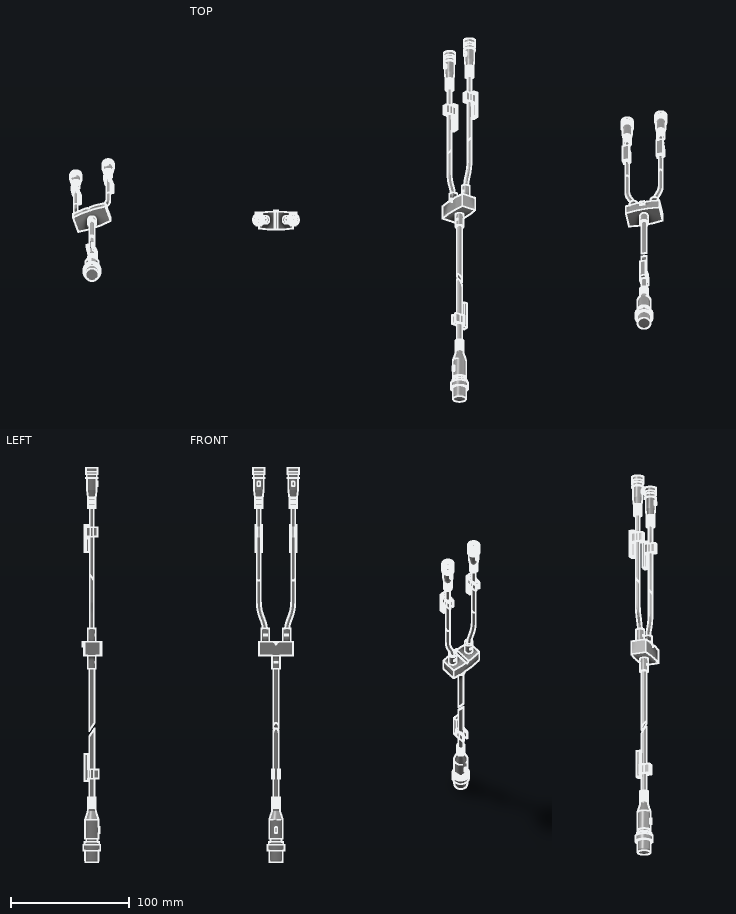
import cadquery as cq

TRUNK_DIA = 4.5
BRANCH_DIA = 3.5
BRANCH_X = 14.5
BRANCH_SIDES = (-1, 1)

BREAK_SLOPE = 1.5
BREAK_REACH = 16.5
BREAK_DEPTH = 199.8
BREAK_MARGIN = 6.5
TRUNK_BREAK_LOW = 109.5
TRUNK_BREAK_HIGH = 114.2
BRANCH_BREAK = 240.5

BLOCK_BOTTOM = 174.5
BLOCK_TOP = 186.0
BLOCK_HALF_X = 14.5
BLOCK_FLAT_HALF_X = 5.5
BLOCK_FRONT_Y = -8.3
BLOCK_BACK_Y = 7.0
BLOCK_END_SETBACK = 1.0
GROOVE_WIDTH = 3.0
GROOVE_DEPTH = 2.3
TAB_WIDTH = 4.0
TAB_HEIGHT = 4.3
TAB_BACK_Y = 8.0

SLEEVE_DIA = 7.0
SLEEVE_LENGTH = 11.3
SLEEVE_X = 9.0
WINDOW_WIDTH = 3.0
WINDOW_HEIGHT = 1.0
WINDOW_DEPTH = 0.5
WINDOW_FROM_BLOCK = 5.5

BEND_TOP = 219.5
BEND_HALF_HEIGHT = 13.3

RELIEF_DIA = 7.0
RELIEF_GROOVE_DIA = 5.5
RELIEF_GROOVE_HEIGHT = 1.0
RELIEF_GROOVE_PITCH = 2.3
RELIEF_END_RIB = 1.3
RELIEF_GROOVE_COUNT = 4

PLUG_THREAD_DIA = 11.5
PLUG_END_INSET = 0.3
PLUG_END_TAPER = 2.0
PLUG_NUT_DIA = 14.5
PLUG_NUT_BOTTOM = 10.0
PLUG_NUT_TOP = 15.0
PLUG_COLLAR_DIA = 12.5
PLUG_COLLAR_TOP = 17.3
PLUG_NECK_DIA = 9.5
PLUG_BODY_DIA = 11.5
PLUG_BODY_BOTTOM = 20.0
PLUG_BODY_TOP = 36.0
PLUG_CONE_TOP = 43.3
PLUG_TOP = 55.0
PLUG_MARK_Z = 27.3
PLUG_MARK_WIDTH = 2.0
PLUG_MARK_HEIGHT = 5.3
PLUG_MARK_REACH = 6.5

SOCKET_BOTTOM = 298.7
SOCKET_CONE_BOTTOM = 308.7
SOCKET_BODY_BOTTOM = 314.0
SOCKET_BODY_TOP = 324.0
SOCKET_BODY_DIA = 8.3
SOCKET_NECK_DIA = 8.5
SOCKET_NUT_DIA = 10.0
SOCKET_RIM_HEIGHT = 0.3
SOCKET_NUT_BOTTOM = 327.5
SOCKET_TOP = 333.0
SOCKET_RECESS_DIA = 8.5
SOCKET_RECESS_DEPTH = 3.3
SOCKET_INSERT_DIA = 5.5
CONTACT_HOLE_DIA = 1.1
CONTACT_CIRCLE_DIA = 3.3
CONTACT_COUNT = 4
CONTACT_START_ANGLE = 45
SOCKET_MARK_Z = 319.5
SOCKET_MARK_WIDTH = 2.5
SOCKET_MARK_HEIGHT = 4.3
SOCKET_MARK_REACH = 5.0

PLATE_LENGTH = 23.0
PLATE_BACK_Y = 6.3
RING_HEIGHT = 8.0
RING_OFFSET = 2.0
LIP_SETBACK = 0.3
LIP_TAPER_WIDTH = 0.3
LIP_TAPER_LENGTH = 1.3
RAIL_THICKNESS = 0.5
RAIL_INSET = 0.3
RAIL_DEPTH = 2.3
RAIL_GAP = 1.3
LEDGE_HEIGHT = 0.5
BRANCH_CLIP_TOP = 284.7
BRANCH_RING_DIA = 5.5
BRANCH_PLATE_WIDTH = 5.5
BRANCH_PLATE_THICKNESS = 1.5
BRANCH_LIP_GAP = 2.0
BRANCH_LIP_REACH = 5.0
TRUNK_CLIP_BOTTOM = 68.5
TRUNK_RING_DIA = 7.0
TRUNK_PLATE_WIDTH = 4.5
TRUNK_PLATE_THICKNESS = 3.3
TRUNK_LIP_GAP = 3.0
TRUNK_LIP_REACH = 6.0


def cylinder(diameter, bottom, top, x=0.0):
    """Vertical cylinder between two heights."""
    return cq.Workplane("XY", origin=(x, 0, bottom)).circle(diameter / 2).extrude(top - bottom)


def box(x_range, y_range, z_range):
    """Box given by its limits along each axis."""
    sizes = [high - low for low, high in (x_range, y_range, z_range)]
    corner = (x_range[0], y_range[0], z_range[0])
    return cq.Workplane("XY").box(*sizes, centered=False).translate(corner)


def turned(profile):
    """Solid of revolution about Z from (radius, height) points, closed along the axis."""
    outline = [(0, profile[0][1]), *profile, (0, profile[-1][1])]
    return cq.Workplane("XZ").polyline(outline).close().revolve(360, (0, 0), (0, 1))


def break_prism(z, slope, direction):
    """Region above (+1) or below (-1) a break plane through height z on the axis."""
    rise = slope * BREAK_REACH
    far = z + direction * BREAK_DEPTH
    outline = [(-BREAK_REACH, z - rise), (BREAK_REACH, z + rise), (BREAK_REACH, far), (-BREAK_REACH, far)]
    return cq.Workplane("YZ").polyline(outline).close().extrude(2 * BLOCK_HALF_X, both=True)


def relief_grooves(cable_end, direction):
    """Rings to remove from a strain relief, counted up (+1) or down (-1) from its cable end."""
    grooves = cq.Workplane("XY")
    for index in range(RELIEF_GROOVE_COUNT):
        offset = RELIEF_END_RIB + index * RELIEF_GROOVE_PITCH + RELIEF_GROOVE_HEIGHT / 2
        low = cable_end + direction * offset - RELIEF_GROOVE_HEIGHT / 2
        high = low + RELIEF_GROOVE_HEIGHT
        grooves = grooves.add(cylinder(RELIEF_DIA, low, high).cut(cylinder(RELIEF_GROOVE_DIA, low, high)))
    return grooves.combine()


def front_mark(z, width, height, reach):
    """Rounded bar raised on the -Y side of a connector body."""
    return cq.Workplane("XZ", origin=(0, 0, z)).slot2D(height, width, 90).extrude(reach)


def make_plug():
    """Trunk plug with the lower part of the trunk cable."""
    thread, nut, body = PLUG_THREAD_DIA / 2, PLUG_NUT_DIA / 2, PLUG_BODY_DIA / 2
    collar, neck, relief = PLUG_COLLAR_DIA / 2, PLUG_NECK_DIA / 2, RELIEF_DIA / 2
    shell = turned([
        (thread - PLUG_END_INSET, 0),
        (thread, PLUG_END_TAPER),
        (thread, PLUG_NUT_BOTTOM),
        (nut, PLUG_NUT_BOTTOM),
        (nut, PLUG_NUT_TOP),
        (collar, PLUG_NUT_TOP),
        (collar, PLUG_COLLAR_TOP),
        (neck, PLUG_COLLAR_TOP),
        (neck, PLUG_BODY_BOTTOM),
        (body, PLUG_BODY_BOTTOM),
        (body, PLUG_BODY_TOP),
        (relief, PLUG_CONE_TOP),
        (relief, PLUG_TOP),
    ])
    shell = shell.cut(relief_grooves(PLUG_TOP, -1))
    shell = shell.union(front_mark(PLUG_MARK_Z, PLUG_MARK_WIDTH, PLUG_MARK_HEIGHT, PLUG_MARK_REACH))
    cable = cylinder(TRUNK_DIA, PLUG_CONE_TOP, TRUNK_BREAK_LOW + BREAK_MARGIN)
    cable = cable.intersect(break_prism(TRUNK_BREAK_LOW, -BREAK_SLOPE, -1))
    return shell.union(cable)


def make_socket():
    """Branch socket with the upper part of its cable, on the Z axis."""
    body, neck, nut, relief = SOCKET_BODY_DIA / 2, SOCKET_NECK_DIA / 2, SOCKET_NUT_DIA / 2, RELIEF_DIA / 2
    rim_top = SOCKET_BODY_TOP + SOCKET_RIM_HEIGHT
    shell = turned([
        (relief, SOCKET_BOTTOM),
        (relief, SOCKET_CONE_BOTTOM),
        (body, SOCKET_BODY_BOTTOM),
        (body, SOCKET_BODY_TOP),
        (nut, SOCKET_BODY_TOP),
        (nut, rim_top),
        (neck, rim_top),
        (neck, SOCKET_NUT_BOTTOM),
        (nut, SOCKET_NUT_BOTTOM),
        (nut, SOCKET_TOP),
    ])
    shell = shell.cut(relief_grooves(SOCKET_BOTTOM, 1))
    recess_floor = SOCKET_TOP - SOCKET_RECESS_DEPTH
    recess = cylinder(SOCKET_RECESS_DIA, recess_floor, SOCKET_TOP)
    shell = shell.cut(recess.cut(cylinder(SOCKET_INSERT_DIA, recess_floor, SOCKET_TOP)))
    contacts = (
        cq.Workplane("XY", origin=(0, 0, recess_floor))
        .polarArray(CONTACT_CIRCLE_DIA / 2, CONTACT_START_ANGLE, 360, CONTACT_COUNT)
        .circle(CONTACT_HOLE_DIA / 2)
        .extrude(SOCKET_RECESS_DEPTH)
    )
    shell = shell.cut(contacts)
    shell = shell.union(front_mark(SOCKET_MARK_Z, SOCKET_MARK_WIDTH, SOCKET_MARK_HEIGHT, SOCKET_MARK_REACH))
    cable = cylinder(BRANCH_DIA, BRANCH_BREAK - BREAK_MARGIN, SOCKET_CONE_BOTTOM)
    cable = cable.intersect(break_prism(BRANCH_BREAK, BREAK_SLOPE, 1))
    return shell.union(cable)


def make_block():
    """Splitter block: long sides with a middle flat, a V groove across the top and a tab behind it."""
    front_end = BLOCK_FRONT_Y + BLOCK_END_SETBACK
    back_end = BLOCK_BACK_Y - BLOCK_END_SETBACK
    outline = [
        (-BLOCK_HALF_X, front_end),
        (-BLOCK_FLAT_HALF_X, BLOCK_FRONT_Y),
        (BLOCK_FLAT_HALF_X, BLOCK_FRONT_Y),
        (BLOCK_HALF_X, front_end),
        (BLOCK_HALF_X, back_end),
        (BLOCK_FLAT_HALF_X, BLOCK_BACK_Y),
        (-BLOCK_FLAT_HALF_X, BLOCK_BACK_Y),
        (-BLOCK_HALF_X, back_end),
    ]
    base = cq.Workplane("XY", origin=(0, 0, BLOCK_BOTTOM)).polyline(outline).close()
    block = base.extrude(BLOCK_TOP - BLOCK_BOTTOM)
    triangle = [(-GROOVE_WIDTH / 2, BLOCK_TOP), (GROOVE_WIDTH / 2, BLOCK_TOP), (0, BLOCK_TOP - GROOVE_DEPTH)]
    groove = cq.Workplane("XZ").polyline(triangle).close().extrude(-BLOCK_FRONT_Y, both=True)
    tab = box(
        (-TAB_WIDTH / 2, TAB_WIDTH / 2),
        (BLOCK_BACK_Y, TAB_BACK_Y),
        (BLOCK_TOP - TAB_HEIGHT, BLOCK_TOP),
    )
    return block.cut(groove).union(tab)


def make_sleeve(x, start, direction):
    """Sleeve growing up (+1) or down (-1) from the block, with a shallow window at the front."""
    end = start + direction * SLEEVE_LENGTH
    sleeve = cylinder(SLEEVE_DIA, min(start, end), max(start, end), x)
    window_z = start + direction * WINDOW_FROM_BLOCK
    window = box(
        (x - WINDOW_WIDTH / 2, x + WINDOW_WIDTH / 2),
        (-SLEEVE_DIA / 2, -SLEEVE_DIA / 2 + WINDOW_DEPTH),
        (window_z - WINDOW_HEIGHT / 2, window_z + WINDOW_HEIGHT / 2),
    )
    return sleeve.cut(window)


def make_branch_cable(side):
    """Branch cable from its sleeve through two equal arcs up to its break."""
    half_shift = (BRANCH_X - SLEEVE_X) / 2
    bend_middle = BEND_TOP - BEND_HALF_HEIGHT
    bend_bottom = bend_middle - BEND_HALF_HEIGHT
    path = (
        cq.Workplane("XZ")
        .moveTo(side * BRANCH_X, BRANCH_BREAK + BREAK_MARGIN)
        .lineTo(side * BRANCH_X, BEND_TOP)
        .tangentArcPoint((side * (BRANCH_X - half_shift), bend_middle), relative=False)
        .tangentArcPoint((side * SLEEVE_X, bend_bottom), relative=False)
    )
    start = (side * BRANCH_X, 0, BRANCH_BREAK + BREAK_MARGIN)
    cable = cq.Workplane("XY", origin=start).circle(BRANCH_DIA / 2).sweep(path)
    return cable.intersect(break_prism(BRANCH_BREAK, BREAK_SLOPE, -1))


def make_splitter():
    """Splitter with its sleeves and the cable ends moulded into it."""
    splitter = make_block().union(make_sleeve(0, BLOCK_BOTTOM, -1))
    trunk = cylinder(TRUNK_DIA, TRUNK_BREAK_HIGH - BREAK_MARGIN, BLOCK_BOTTOM)
    splitter = splitter.union(trunk.intersect(break_prism(TRUNK_BREAK_HIGH, -BREAK_SLOPE, 1)))
    for side in BRANCH_SIDES:
        splitter = splitter.union(make_sleeve(side * SLEEVE_X, BLOCK_TOP, 1))
        splitter = splitter.union(make_branch_cable(side))
    return splitter


def make_clip(cable_dia, ring_dia, lip_gap, lip_reach, plate_width, plate_thickness):
    """Label clip on the Z axis; the plate hangs down from Z = 0 with the ring near its top."""
    ring_top = -RING_OFFSET
    ring_bottom = ring_top - RING_HEIGHT
    plate_front = PLATE_BACK_Y - plate_thickness
    side = ring_dia / 2 - LIP_SETBACK
    tip = side - LIP_TAPER_WIDTH
    taper_start = LIP_TAPER_LENGTH - lip_reach

    grip_outline = [
        (-side, plate_front),
        (-side, taper_start),
        (-tip, -lip_reach),
        (tip, -lip_reach),
        (side, taper_start),
        (side, plate_front),
    ]
    grip = cq.Workplane("XY", origin=(0, 0, ring_bottom)).polyline(grip_outline).close().extrude(RING_HEIGHT)
    clip = grip.union(cylinder(ring_dia, ring_bottom, ring_top))
    plate_range = (-plate_width / 2, plate_width / 2)
    clip = clip.union(box(plate_range, (plate_front, PLATE_BACK_Y), (-PLATE_LENGTH, 0)))
    clip = clip.cut(cylinder(cable_dia, -PLATE_LENGTH, 0))
    return clip.cut(box((-lip_gap / 2, lip_gap / 2), (-lip_reach, 0), (ring_bottom, ring_top)))


def make_branch_clip():
    """Clip for a branch cable, with a ledge above its ring and rails below it."""
    clip = make_clip(
        BRANCH_DIA,
        BRANCH_RING_DIA,
        BRANCH_LIP_GAP,
        BRANCH_LIP_REACH,
        BRANCH_PLATE_WIDTH,
        BRANCH_PLATE_THICKNESS,
    )
    half_plate = BRANCH_PLATE_WIDTH / 2
    plate_front = PLATE_BACK_Y - BRANCH_PLATE_THICKNESS
    depth_range = (plate_front - RAIL_DEPTH, plate_front)
    rail_top = -RING_OFFSET - RING_HEIGHT - RAIL_GAP
    clip = clip.union(box((-half_plate, half_plate), depth_range, (-LEDGE_HEIGHT, 0)))
    rail_outer = half_plate - RAIL_INSET
    for left in (-rail_outer, rail_outer - RAIL_THICKNESS):
        clip = clip.union(box((left, left + RAIL_THICKNESS), depth_range, (-PLATE_LENGTH, rail_top)))
    return clip.translate((0, 0, BRANCH_CLIP_TOP))


def make_trunk_clip():
    """Larger clip for the trunk cable, turned end for end."""
    clip = make_clip(
        TRUNK_DIA,
        TRUNK_RING_DIA,
        TRUNK_LIP_GAP,
        TRUNK_LIP_REACH,
        TRUNK_PLATE_WIDTH,
        TRUNK_PLATE_THICKNESS,
    )
    return clip.rotate((0, 0, 0), (0, 1, 0), 180).translate((0, 0, TRUNK_CLIP_BOTTOM))


plug = make_plug()
splitter = make_splitter()
trunk_clip = make_trunk_clip()
sockets = [make_socket().translate((side * BRANCH_X, 0, 0)) for side in BRANCH_SIDES]
branch_clips = [make_branch_clip().translate((side * BRANCH_X, 0, 0)) for side in BRANCH_SIDES]

bodies = [plug, splitter, trunk_clip, *sockets, *branch_clips]
result = cq.Compound.makeCompound([body.val() for body in bodies])